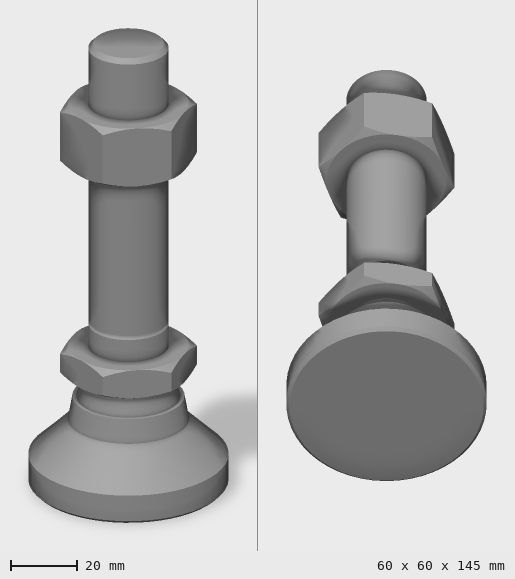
import cadquery as cq
import math

total_height = 145.0

foot_radius = 30.0
foot_chamfer = 1.0
foot_rim_top = 9.4
collar_bottom = 21.0
collar_top = 28.5
collar_bottom_radius = 18.1
collar_top_radius = 16.8

ball_radius = 16.0
ball_center = 25.2

shank_radius = 12.0
shank_tip_chamfer = 1.5
relief_bottom = 52.5
relief_height = 1.3
relief_depth = 0.9

across_flats = 36.0
hex_chamfer_angle = 30.0
wrench_hex_bottom = 36.0
wrench_hex_height = 9.3
nut_bottom = 106.0
nut_height = 19.1


def make_ball():
    """Ball centred in the socket of the foot."""
    return cq.Workplane("XY").sphere(ball_radius).translate((0, 0, ball_center))


def make_shank(bottom, top):
    """Plain round shank between two heights."""
    return cq.Workplane("XY").workplane(offset=bottom).circle(shank_radius).extrude(top - bottom)


def make_chamfered_hex(bottom, height):
    """Hexagonal prism with corners along Y, conically chamfered on both ends."""
    flat_radius = across_flats / 2
    corner_radius = flat_radius / math.cos(math.radians(30))
    chamfer_drop = (corner_radius - flat_radius) * math.tan(math.radians(hex_chamfer_angle))
    prism = (
        cq.Workplane("XY")
        .polygon(6, 2 * corner_radius)
        .extrude(height)
        .rotate((0, 0, 0), (0, 0, 1), 90)
    )
    envelope = (
        cq.Workplane("XZ")
        .moveTo(0, 0)
        .lineTo(flat_radius, 0)
        .lineTo(corner_radius, chamfer_drop)
        .lineTo(corner_radius, height - chamfer_drop)
        .lineTo(flat_radius, height)
        .lineTo(0, height)
        .close()
        .revolve(360, (0, 0, 0), (0, 1, 0))
    )
    return prism.intersect(envelope).translate((0, 0, bottom))


def make_foot():
    """Round foot with a flared skirt, a tapered collar and a spherical socket."""
    blank = (
        cq.Workplane("XZ")
        .moveTo(0, 0)
        .lineTo(foot_radius - foot_chamfer, 0)
        .lineTo(foot_radius, foot_chamfer)
        .lineTo(foot_radius, foot_rim_top)
        .lineTo(collar_bottom_radius, collar_bottom)
        .lineTo(collar_top_radius, collar_top)
        .lineTo(0, collar_top)
        .close()
        .revolve(360, (0, 0, 0), (0, 1, 0))
    )
    return blank.cut(make_ball())


def make_relief():
    """Ring cut from the shank: a cone rising inward to a flat shoulder."""
    relief_top = relief_bottom + relief_height
    return (
        cq.Workplane("XZ")
        .moveTo(shank_radius, relief_bottom)
        .lineTo(shank_radius, relief_top)
        .lineTo(shank_radius - relief_depth, relief_top)
        .close()
        .revolve(360, (0, 0, 0), (0, 1, 0))
    )


def make_stud():
    """Ball, wrench hexagon and shank in one piece."""
    shank = make_shank(ball_center, total_height).faces(">Z").chamfer(shank_tip_chamfer)
    wrench_hex = make_chamfered_hex(wrench_hex_bottom, wrench_hex_height)
    return make_ball().union(shank).union(wrench_hex).cut(make_relief())


def make_nut():
    """Lock nut whose bore fits the shank."""
    bore = make_shank(nut_bottom, nut_bottom + nut_height)
    return make_chamfered_hex(nut_bottom, nut_height).cut(bore)


foot = make_foot()
stud = make_stud()
nut = make_nut()

result = cq.Compound.makeCompound([foot.val(), stud.val(), nut.val()])